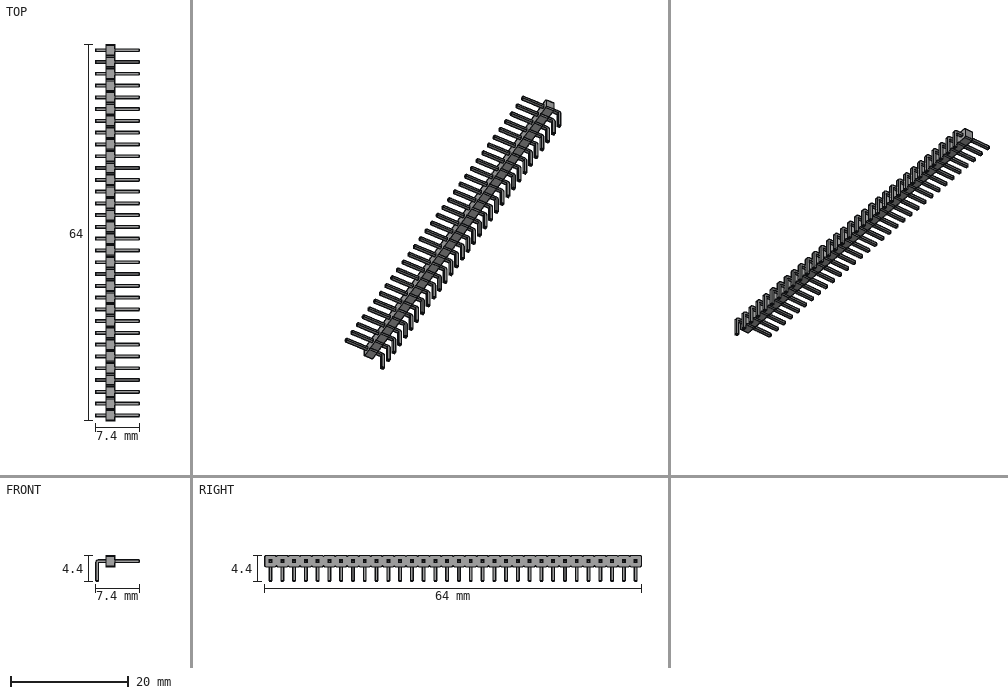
import cadquery as cq

pin_count = 32
total_length = 64.0
pitch = total_length / pin_count

body_width = 1.55
body_height = pitch
body_chamfer = 0.2

pin_size = 0.5
pin_span = 7.4
total_height = 4.4
leg_to_body = 1.7
tip_chamfer = 0.1

pin_left = -body_width / 2 - leg_to_body
pin_right = pin_left + pin_span
pin_top = pin_size / 2
pin_bottom = body_height / 2 - total_height


def make_body_segment(y_center):
    """One pitch of the body; chamfered ends form V-grooves between neighbours."""
    segment = cq.Workplane("XY").box(body_width, pitch, body_height)
    segment = segment.edges("|X").chamfer(body_chamfer)
    return segment.translate((0, y_center, 0))


def make_pin():
    """L-shaped pin with a rounded outer bend, a sharp inner bend and tapered tips."""
    leg_right = pin_left + pin_size
    pin = (
        cq.Workplane("XZ")
        .moveTo(pin_right, pin_top)
        .lineTo(leg_right, pin_top)
        .radiusArc((pin_left, pin_top - pin_size), -pin_size)
        .lineTo(pin_left, pin_bottom)
        .lineTo(leg_right, pin_bottom)
        .lineTo(leg_right, pin_top - pin_size)
        .lineTo(pin_right, pin_top - pin_size)
        .close()
        .extrude(pin_size / 2, both=True)
    )
    pin = pin.faces(">X").chamfer(tip_chamfer)
    return pin.faces("<Z").chamfer(tip_chamfer)


pin_rows = [(index - (pin_count - 1) / 2) * pitch for index in range(pin_count)]
pin_shape = make_pin()

result = cq.Workplane("XY")
for y_center in pin_rows:
    position = make_body_segment(y_center).union(pin_shape.translate((0, y_center, 0)))
    result = result.union(position)